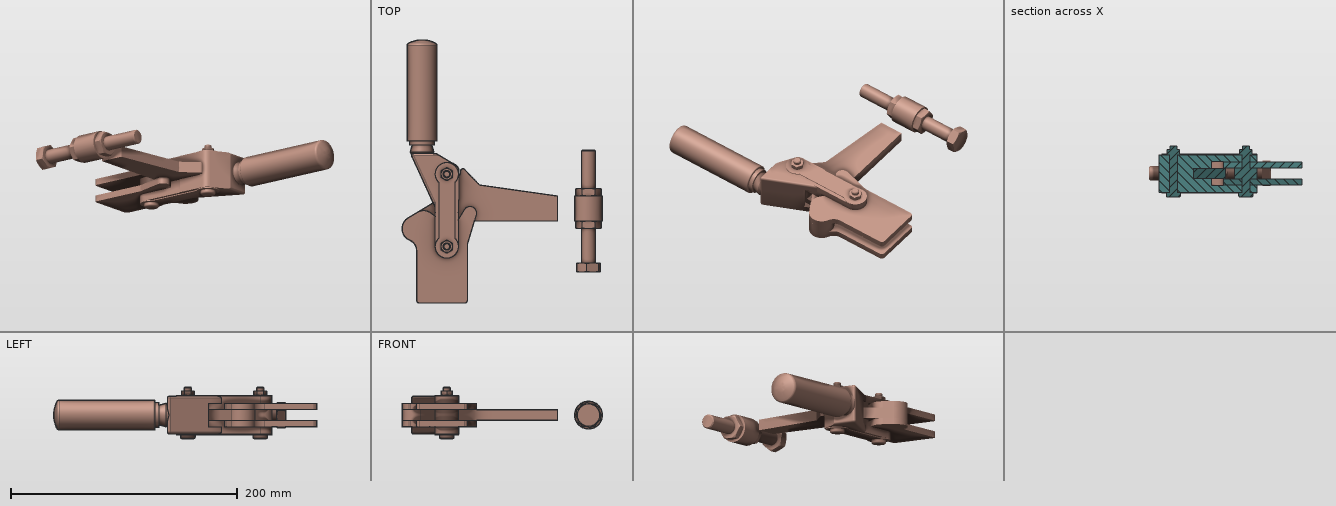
import cadquery as cq
import math


arm_thickness = 9.5
plate_thickness = 5.5
handle_width = 33.5
strap_thickness = 0.7
plate_inner = arm_thickness / 2
plate_outer = plate_inner + plate_thickness
handle_face = handle_width / 2
strap_face = handle_face + strap_thickness

pin_spacing = 63.9
pin_radius = 3.3
pin_centres = [(0, 0), (0, pin_spacing)]
link_end_radius = 10.2
strap_width = 14.2
pin_top = 24.5
pin_end_chamfer = 0.7
pin_nut_height = 4.0
pin_nut_corner_radius = 5.8
pin_head_radius = 6.5
pin_head_bottom = -21.0
pin_head_round = 1.6

lobe_centre = (-28.3, 15.8)
lobe_radius = 11.1
lobe_top_slope = 31

base_left = -26.7
base_right = 18.3
base_bottom = -50.0
base_corner_radius = 2.8
lobe_lower_slope = 26
neck_radius = 9.8
shoulder = (-19.7, 33.7)
shoulder_radius = 10.5
valley = (5.0, 15.5)
valley_radius = 9.3
finger_centre = (20.5, 29.5)
finger_radius = 5.8
finger_left_slope = 59
finger_right_slope = 74
finger_root_y = 2.3

arm_lower_slope = 27
arm_underside = 22.5
arm_end = 97.8
arm_end_top = 44.5
arm_bend = (28.8, 54.3)
knob_left = 12.0
knob_root_y = 64.3
knob_corner_y = 71.7
knob_radius = 2.0

block_top = 82.0
block_top_left = -32.0
block_top_right = -9.3
block_right = 11.0
block_right_top = 70.1
block_right_bottom = 40.9
block_right_radius = 7
block_left_bottom = 34.4
block_bottom = 30.2
block_edge_radius = 1.9
block_corner_radius = 1.9
notch_top = 45.5
handle_wall = 2.3

grip_axis_x = -21.8
neck_foot_radius = 10.5
neck_foot_y = 83.4
neck_top_radius = 8.8
neck_root_y = 80.0
collar_radius = 11.1
collar_bottom = 89.5
grip_radius = 13.2
grip_bottom = 92.9
grip_rim = 178.5
grip_top = 182.3
grip_dome_mid = (7, 181.3)
grip_rim_round = 2.3
grip_bottom_round = 0.7

spindle_x = 125.0
spindle_radius = 6.3
spindle_top = 85.0
spindle_chamfer = 1.0
sleeve_radius = 12.3
sleeve_bottom = 22.5
sleeve_top = 44.5
spindle_nut_height = 6.7
spindle_nut_corner_radius = 11.4
spindle_head_top = -14.5
spindle_head_bottom = -22.5
spindle_head_corner_radius = 11.4
spindle_head_turn = 38.3
hex_chamfer_slope = 0.5


def polar(centre, radius, angle):
    """Point on a circle, with the angle in degrees."""
    turn = math.radians(angle)
    return (centre[0] + radius * math.cos(turn), centre[1] + radius * math.sin(turn))


def layer(outline, bottom, top):
    """Closed outline in XY extruded from one height to another."""
    return outline.extrude(top - bottom).translate((0, 0, bottom))


def round_corner(body, corner, radius):
    """Round the vertical edge nearest to an XY corner."""
    nearest = cq.selectors.NearestToPointSelector((*corner, body.val().Center().z))
    return body.edges("|Z").edges(nearest).fillet(radius)


def hexagon(corner_radius, height, turn):
    """Hexagonal prism standing on Z = 0, with its corners chamfered at both ends."""
    diameter = 2 * corner_radius
    prism = cq.Workplane("XY").polygon(6, diameter).extrude(height)
    prism = prism.rotate((0, 0, 0), (0, 0, 1), turn)
    flat_radius = corner_radius * math.cos(math.radians(30))
    rim = corner_radius - flat_radius
    envelope = (
        cq.Workplane("XY")
        .circle(corner_radius)
        .extrude(height)
        .faces("<Z or >Z")
        .chamfer(rim * hex_chamfer_slope, rim)
    )
    return prism.intersect(envelope)


def pin_shafts(bottom, top):
    return layer(cq.Workplane("XY").pushPoints(pin_centres).circle(pin_radius), bottom, top)


def link_slot():
    """Round-ended outline around both pins."""
    return (
        cq.Workplane("XY")
        .center(0, pin_spacing / 2)
        .slot2D(pin_spacing + 2 * link_end_radius, 2 * link_end_radius, 90)
    )


def base_plate(bottom):
    lobe_start = polar(lobe_centre, lobe_radius, 90 + lobe_top_slope)
    lobe_end = polar(lobe_centre, lobe_radius, 270 - lobe_lower_slope)
    lower_run = base_left - lobe_end[0]
    neck = (base_left, lobe_end[1] - lower_run * math.tan(math.radians(lobe_lower_slope)))
    outline = (
        cq.Workplane("XY")
        .moveTo(*lobe_start)
        .threePointArc(polar(lobe_centre, lobe_radius, 180), lobe_end)
        .lineTo(*neck)
        .lineTo(base_left, base_bottom)
        .lineTo(base_right, base_bottom)
        .lineTo(base_right, finger_root_y)
        .lineTo(*polar(finger_centre, finger_radius, finger_right_slope - 90))
        .threePointArc(
            polar(finger_centre, finger_radius, 90),
            polar(finger_centre, finger_radius, finger_left_slope + 90),
        )
        .lineTo(*valley)
        .lineTo(*shoulder)
        .close()
    )
    plate = layer(outline, bottom, bottom + plate_thickness)
    plate = round_corner(plate, neck, neck_radius)
    plate = round_corner(plate, valley, valley_radius)
    plate = round_corner(plate, shoulder, shoulder_radius)
    for side in (base_left, base_right):
        plate = round_corner(plate, (side, base_bottom), base_corner_radius)
    return plate.cut(pin_shafts(bottom, bottom + plate_thickness))


def arm_shoulder_x():
    """Where the upper slope of the arm reaches the top of the handle notch."""
    start = polar(lobe_centre, lobe_radius, 90 + lobe_top_slope)
    return start[0] + (notch_top - start[1]) / math.tan(math.radians(lobe_top_slope))


def clamp_arm():
    lobe_start = polar(lobe_centre, lobe_radius, 90 + lobe_top_slope)
    lobe_end = polar(lobe_centre, lobe_radius, 270 + arm_lower_slope)
    underside_run = (arm_underside - lobe_end[1]) / math.tan(math.radians(arm_lower_slope))
    knob = (knob_left, knob_corner_y)
    outline = (
        cq.Workplane("XY")
        .moveTo(*lobe_start)
        .threePointArc(polar(lobe_centre, lobe_radius, 180), lobe_end)
        .lineTo(lobe_end[0] + underside_run, arm_underside)
        .lineTo(arm_end, arm_underside)
        .lineTo(arm_end, arm_end_top)
        .lineTo(*arm_bend)
        .lineTo(*knob)
        .lineTo(knob_left, knob_root_y)
        .lineTo(arm_shoulder_x(), notch_top)
        .close()
    )
    arm = layer(outline, -arm_thickness / 2, arm_thickness / 2)
    return round_corner(arm, knob, knob_radius)


def handle_block():
    """Solid wedge around the upper pin, rounded along its sloping and top edges."""
    right_corner = (block_right, block_right_top)
    outline = cq.Workplane("XY").polyline([
        (block_top_left, block_top),
        (-link_end_radius, block_left_bottom),
        (-link_end_radius, block_bottom),
        (link_end_radius, block_bottom),
        (link_end_radius, block_right_bottom),
        (block_right, block_right_bottom),
        right_corner,
        (block_top_right, block_top),
    ]).close()
    block = layer(outline, -handle_face, handle_face)
    block = round_corner(block, right_corner, block_right_radius)
    block = round_corner(block, (block_top_left, block_top), block_corner_radius)
    slope_middle = ((block_top_left - link_end_radius) / 2, (block_top + block_left_bottom) / 2)
    for z in (-handle_face, handle_face):
        slope_edge = cq.selectors.NearestToPointSelector((*slope_middle, z))
        block = block.edges(slope_edge).fillet(block_edge_radius)
    return block


def turned_on_y(profile):
    return profile.close().revolve(360, (0, 0, 0), (0, 1, 0))


def handle_grip():
    """Neck, collar and domed grip turned about one axis."""
    neck = turned_on_y(
        cq.Workplane("XY")
        .moveTo(0, neck_root_y)
        .lineTo(0, grip_bottom)
        .lineTo(collar_radius, grip_bottom)
        .lineTo(collar_radius, collar_bottom)
        .lineTo(neck_top_radius, collar_bottom)
        .lineTo(neck_foot_radius, neck_foot_y)
        .lineTo(neck_top_radius, neck_root_y)
    )
    grip = turned_on_y(
        cq.Workplane("XY")
        .moveTo(0, grip_bottom)
        .lineTo(0, grip_top)
        .threePointArc(grip_dome_mid, (grip_radius, grip_rim))
        .lineTo(grip_radius, grip_bottom)
    )
    grip = grip.faces("<Y").edges().fillet(grip_bottom_round)
    grip = grip.faces(">Y").edges("<Y").fillet(grip_rim_round)
    return neck.union(grip).translate((grip_axis_x, 0, 0))


def handle_notch(right, half_width):
    """Cutter that opens the sloping side of the handle below the notch top."""
    return (
        cq.Workplane("XY")
        .box(right - block_top_left, notch_top, 2 * half_width, centered=(False, False, True))
        .translate((block_top_left, 0, 0))
    )


def handle_hollow():
    """Three-sided cutter that leaves a thin wall along the slope and the top of the handle."""
    slope_run = (-link_end_radius - block_top_left) / (block_top - block_left_bottom)
    hollow_top = block_top - handle_wall
    outline = cq.Workplane("XY").polyline([
        (block_top_left + handle_wall * (1 + slope_run), hollow_top),
        (-link_end_radius, block_left_bottom + handle_wall / slope_run),
        (-link_end_radius, hollow_top),
    ]).close()
    return layer(outline, -plate_outer, plate_outer)


def clamp_handle(arm):
    """Handle with two legs that straddle the base plates and a slot that takes the arm."""
    handle = handle_block().union(handle_grip())
    for bottom in (plate_outer, -handle_face):
        handle = handle.union(layer(link_slot(), bottom, bottom + handle_face - plate_outer))
    handle = handle.cut(handle_hollow())
    handle = handle.cut(handle_notch(-link_end_radius, plate_outer))
    handle = handle.cut(handle_notch(arm_shoulder_x(), plate_inner))
    return handle.cut(arm).cut(pin_shafts(-handle_face, handle_face))


def link_strap(bottom):
    """Flat strap with two round eyes."""
    eyes = cq.Workplane("XY").pushPoints(pin_centres).circle(link_end_radius)
    web = cq.Workplane("XY").center(0, pin_spacing / 2).rect(strap_width, pin_spacing)
    top = bottom + strap_thickness
    return layer(eyes, bottom, top).union(layer(web, bottom, top))


def pin_bolt():
    """Bolt along Z with a round head below and a hexagonal nut on top of the strap."""
    shaft = layer(cq.Workplane("XY").circle(pin_radius), -strap_face, pin_top)
    shaft = shaft.faces(">Z").chamfer(pin_end_chamfer)
    head = layer(cq.Workplane("XY").circle(pin_head_radius), pin_head_bottom, -strap_face)
    head = head.faces("<Z").edges().fillet(pin_head_round)
    nut = hexagon(pin_nut_corner_radius, pin_nut_height, 90).translate((0, 0, strap_face))
    return shaft.union(head).union(nut)


def link():
    """Two straps joined by bolts, with a round spacer between the base plates."""
    body = layer(cq.Workplane("XY").circle(link_end_radius), -plate_inner, plate_inner)
    for x, y in pin_centres:
        body = body.union(pin_bolt().translate((x, y, 0)))
    for bottom in (handle_face, -strap_face):
        body = body.union(link_strap(bottom))
    return body


def spindle():
    """Hexagon-head spindle with a sleeve held between two nuts, turned about its own Z axis."""
    body = layer(cq.Workplane("XY").circle(spindle_radius), spindle_head_top, spindle_top)
    body = body.faces(">Z").chamfer(spindle_chamfer)
    body = body.union(layer(cq.Workplane("XY").circle(sleeve_radius), sleeve_bottom, sleeve_top))
    for bottom in (sleeve_bottom - spindle_nut_height, sleeve_top):
        nut = hexagon(spindle_nut_corner_radius, spindle_nut_height, 0)
        body = body.union(nut.translate((0, 0, bottom)))
    head_height = spindle_head_top - spindle_head_bottom
    head = hexagon(spindle_head_corner_radius, head_height, -spindle_head_turn)
    body = body.union(head.translate((0, 0, spindle_head_bottom)))
    return body.rotate((0, 0, 0), (1, 0, 0), -90).translate((spindle_x, 0, 0))


arm = clamp_arm()
base_plates = [base_plate(bottom) for bottom in (plate_inner, -plate_outer)]
handle = clamp_handle(arm)

result = cq.Compound.makeCompound([
    *[plate.val() for plate in base_plates],
    arm.val(),
    handle.val(),
    link().val(),
    spindle().val(),
])